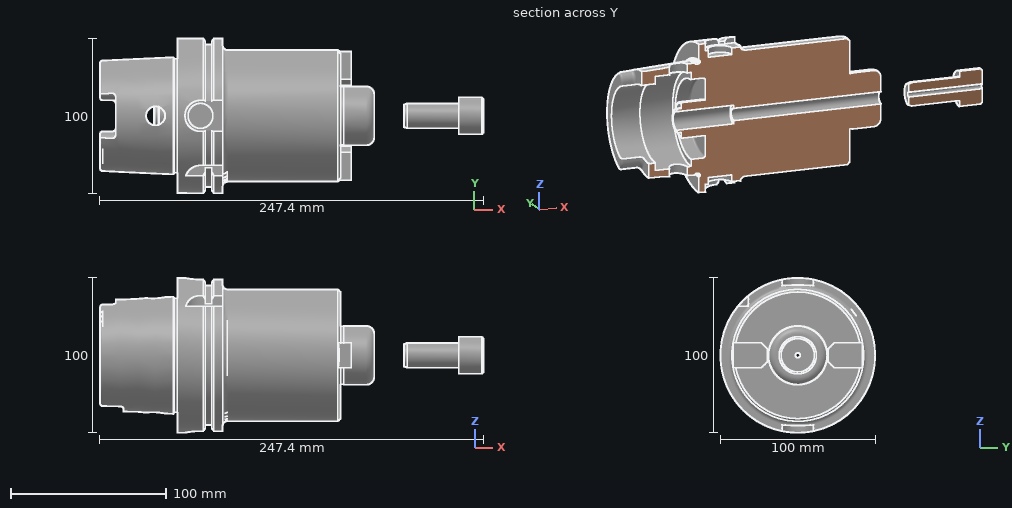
import cadquery as cq
import math


shank_length = 50.0
tip_radius = 35.5
taper_base_radius = 37.8
taper_base_x = 47.2
tip_fillet = 1.7
undercut_radius = 36.9
undercut_bevel = 0.7
face_relief_radius = 39.3
face_relief_depth = 0.7

bore_radius = 26.5
clamp_groove_radius = 31.5
clamp_groove_start = 19.8
clamp_groove_end = 44.5
inner_bore_radius = 26.7
bore_floor_x = 54.5
bore_floor_fillet = 1.5

spigot_radius = 8.2
spigot_tip_x = 34.6
collar_radius = 12.0
collar_x = 37.5
spigot_bevel = 0.7

slot_width = 20.0
slot_floor_fillet = 2.2
slot_mouth_radius = 6.5
top_slot_depth = 10.1
bottom_slot_depth = 15.0

cross_hole_diameter = 12.0
cross_hole_x = 35.9
cross_hole_bevel = 1.0

flange_radius = 50.0
flange_end = 79.2
grip_start = 66.5
grip_end = 73.5
grip_bevel = 1.5
grip_bevel_depth = 2.0
grip_radius = 46.0

keyway_width = 20.0
keyway_center_x = 64.8
keyway_floor_z = 45.0
rim_hole_diameter = 16.0
rim_hole_depth = 4.5
notch_floor_z = 31.7
notch_wall_y = -32.0

body_radius = 42.5
body_root_fillet = 3.0
body_end = 155.0
body_chamfer = 1.7
pilot_radius = 19.0
pilot_end = 176.9
pilot_fillet = 5.2
pilot_relief_radius = 18.8
pilot_relief_width = 2.0

key_width = 16.0
key_outer_y = 41.5
key_inner_y = 19.5
key_end = 162.0
key_chamfer = 4.0
key_root_depth = 2.5

passage_mouth_diameter = 12.0
passage_mouth_end = 74.2
passage_diameter = 8.0

screw_start = 196.0
screw_head_x = 231.3
screw_end = 247.4
shank_diameter = 16.0
head_diameter = 24.0
shank_bevel_length = 2.2
shank_tip_diameter = 14.5
head_chamfer = 1.2
screw_bore_diameter = 3.0


def x_cylinder(diameter, start, end):
    """Cylinder on the X axis between two positions."""
    return cq.Workplane("YZ", origin=(start, 0, 0)).circle(diameter / 2).extrude(end - start)


def revolve_about_x(profile):
    """Turn a closed XY profile about the X axis."""
    return profile.close().revolve(360, (0, 0, 0), (1, 0, 0))


def turned(shape, angle):
    """Copy of a shape turned about the X axis."""
    return shape.rotate((0, 0, 0), (1, 0, 0), angle)


def taper_radius(x):
    """Outer radius of the taper at a position along X."""
    return tip_radius + (taper_base_radius - tip_radius) * x / taper_base_x


def outer_form():
    """Shank, flange, body and pilot as one turned solid."""
    fillet_dip = pilot_fillet * (1 - math.sqrt(0.5))
    root_dip = body_root_fillet * (1 - math.sqrt(0.5))
    profile = (
        cq.Workplane("XY")
        .moveTo(0, 0)
        .lineTo(0, tip_radius)
        .lineTo(taper_base_x, taper_base_radius)
        .lineTo(taper_base_x + undercut_bevel, undercut_radius)
        .lineTo(shank_length, undercut_radius)
        .lineTo(shank_length + face_relief_depth, undercut_radius + face_relief_depth)
        .lineTo(shank_length + face_relief_depth, face_relief_radius - face_relief_depth)
        .lineTo(shank_length, face_relief_radius)
        .lineTo(shank_length, flange_radius)
        .lineTo(grip_start, flange_radius)
        .lineTo(grip_start + grip_bevel, flange_radius - grip_bevel_depth)
        .lineTo(grip_start + grip_bevel, grip_radius)
        .lineTo(grip_end - grip_bevel, grip_radius)
        .lineTo(grip_end - grip_bevel, flange_radius - grip_bevel_depth)
        .lineTo(grip_end, flange_radius)
        .lineTo(flange_end, flange_radius)
        .lineTo(flange_end, body_radius + body_root_fillet)
        .threePointArc(
            (flange_end + root_dip, body_radius + root_dip),
            (flange_end + body_root_fillet, body_radius),
        )
        .lineTo(body_end - body_chamfer, body_radius)
        .lineTo(body_end, body_radius - body_chamfer)
        .lineTo(body_end, pilot_relief_radius)
        .lineTo(body_end + pilot_relief_width, pilot_relief_radius)
        .lineTo(body_end + pilot_relief_width, pilot_radius)
        .lineTo(pilot_end - pilot_fillet, pilot_radius)
        .threePointArc(
            (pilot_end - fillet_dip, pilot_radius - fillet_dip),
            (pilot_end, pilot_radius - pilot_fillet),
        )
        .lineTo(pilot_end, 0)
    )
    return revolve_about_x(profile)


def clamping_bore():
    """Bore with a widened gripping groove and a rounded floor edge."""
    fillet_dip = bore_floor_fillet * (1 - math.sqrt(0.5))
    profile = (
        cq.Workplane("XY")
        .moveTo(0, 0)
        .lineTo(0, bore_radius)
        .lineTo(clamp_groove_start, bore_radius)
        .lineTo(clamp_groove_start, clamp_groove_radius)
        .lineTo(clamp_groove_end, clamp_groove_radius)
        .lineTo(clamp_groove_end, inner_bore_radius)
        .lineTo(bore_floor_x - bore_floor_fillet, inner_bore_radius)
        .threePointArc(
            (bore_floor_x - fillet_dip, inner_bore_radius - fillet_dip),
            (bore_floor_x, inner_bore_radius - bore_floor_fillet),
        )
        .lineTo(bore_floor_x, 0)
    )
    return revolve_about_x(profile)


def coolant_spigot():
    """Bevelled spigot with a wider bevelled collar behind it."""
    spigot = x_cylinder(2 * spigot_radius, spigot_tip_x, bore_floor_x)
    collar = x_cylinder(2 * collar_radius, collar_x, bore_floor_x)
    spigot = spigot.faces("<X").chamfer(spigot_bevel)
    collar = collar.faces("<X").chamfer(spigot_bevel)
    return spigot.union(collar)


def drive_slot(depth):
    """Cutter for an upward slot whose mouth rounds tangentially into the taper."""
    half = slot_width / 2
    rim = taper_base_radius
    center_y = half + slot_mouth_radius
    center_z = math.sqrt((rim - slot_mouth_radius) ** 2 - center_y ** 2)
    rim_angle = math.atan2(center_z, center_y)
    mid_angle = (math.pi + rim_angle) / 2

    def arc_point(angle):
        return (
            center_y + slot_mouth_radius * math.cos(angle),
            center_z + slot_mouth_radius * math.sin(angle),
        )

    mid = arc_point(mid_angle)
    tangent = arc_point(rim_angle)
    flare = 2 * slot_mouth_radius
    outer = (
        tangent[0] + flare * math.sin(rim_angle),
        tangent[1] - flare * math.cos(rim_angle),
    )
    top = flange_radius
    section = (
        cq.Workplane("YZ")
        .moveTo(half, 0)
        .lineTo(half, center_z)
        .threePointArc(mid, tangent)
        .lineTo(*outer)
        .lineTo(outer[0], top)
        .lineTo(-outer[0], top)
        .lineTo(-outer[0], outer[1])
        .lineTo(-tangent[0], tangent[1])
        .threePointArc((-mid[0], mid[1]), (-half, center_z))
        .lineTo(-half, 0)
        .close()
    )
    return section.extrude(depth).faces(">X").edges().fillet(slot_floor_fillet)


def axial_passage():
    """Stepped hole from the spigot tip through the pilot."""
    mouth = x_cylinder(passage_mouth_diameter, spigot_tip_x, passage_mouth_end)
    return mouth.union(x_cylinder(passage_diameter, passage_mouth_end, pilot_end))


def cross_hole():
    """Upward hole through the shank wall with a bevelled rim."""
    rim_z = taper_radius(cross_hole_x)
    hole = (
        cq.Workplane("XY", origin=(cross_hole_x, 0, collar_radius))
        .circle(cross_hole_diameter / 2)
        .extrude(flange_radius - collar_radius)
    )
    bevel = cq.Workplane("XY").add(
        cq.Solid.makeCone(
            cross_hole_diameter / 2 - cross_hole_bevel,
            cross_hole_diameter / 2 + cross_hole_bevel,
            2 * cross_hole_bevel,
            pnt=cq.Vector(cross_hole_x, 0, rim_z - cross_hole_bevel),
        )
    )
    return hole.union(bevel)


def round_ended_slot(center_y, floor_z):
    """Vertical end-mill slot running from its round end out through the flange."""
    run_length = flange_end - keyway_center_x
    height = flange_radius - floor_z
    plane = cq.Workplane("XY", origin=(keyway_center_x, center_y, floor_z))
    run = plane.center(run_length / 2, 0).rect(run_length, keyway_width).extrude(height)
    return plane.circle(keyway_width / 2).extrude(height).union(run)


def keyway():
    """Upward keyway with a screw recess in its floor."""
    recess = (
        cq.Workplane("XY", origin=(keyway_center_x, 0, keyway_floor_z))
        .circle(rim_hole_diameter / 2)
        .extrude(-rim_hole_depth)
    )
    return round_ended_slot(0, keyway_floor_z).union(recess)


def drive_key():
    """Face key on the +Y side, its inner end bevelled towards the pilot."""
    half = key_width / 2
    return (
        cq.Workplane("YZ", origin=(body_end - key_root_depth, 0, 0))
        .moveTo(key_outer_y, half)
        .lineTo(key_inner_y + key_chamfer, half)
        .lineTo(key_inner_y, half - key_chamfer)
        .lineTo(key_inner_y, key_chamfer - half)
        .lineTo(key_inner_y + key_chamfer, -half)
        .lineTo(key_outer_y, -half)
        .close()
        .extrude(key_end - body_end + key_root_depth)
    )


def make_arbor():
    """The complete tool arbor."""
    arbor = outer_form()
    for depth, turn in ((top_slot_depth, 0), (bottom_slot_depth, 180)):
        arbor = arbor.cut(turned(drive_slot(depth), turn))
    arbor = arbor.faces("<X").edges().fillet(tip_fillet)
    arbor = arbor.cut(clamping_bore()).union(coolant_spigot()).cut(axial_passage())
    for turn in (0, 180):
        arbor = arbor.cut(turned(cross_hole(), turn))
        arbor = arbor.cut(turned(keyway(), turn))
        arbor = arbor.union(turned(drive_key(), turn))
    return arbor.cut(round_ended_slot(notch_wall_y - keyway_width / 2, notch_floor_z))


def make_screw():
    """Cap screw with bevelled ends and a fine axial bore."""
    profile = (
        cq.Workplane("XY")
        .moveTo(screw_start, screw_bore_diameter / 2)
        .lineTo(screw_start, shank_tip_diameter / 2)
        .lineTo(screw_start + shank_bevel_length, shank_diameter / 2)
        .lineTo(screw_head_x, shank_diameter / 2)
        .lineTo(screw_head_x, head_diameter / 2)
        .lineTo(screw_end - head_chamfer, head_diameter / 2)
        .lineTo(screw_end, head_diameter / 2 - head_chamfer)
        .lineTo(screw_end, screw_bore_diameter / 2)
    )
    return revolve_about_x(profile)


arbor = make_arbor()
screw = make_screw()

result = cq.Compound.makeCompound([arbor.val(), screw.val()])